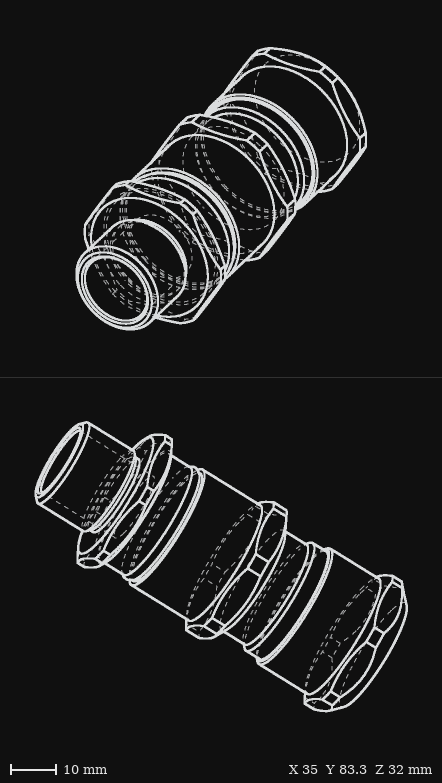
import cadquery as cq
import math

total_length = 83.3
across_flats = 32.0
hex_corner_radius = 17.5
body_radius = 30.0 / 2
lock_hex_face_radius = 14.7
sleeve_radius = 28.0 / 2
waist_radius = 26.0 / 2
thread_radius = 21.0 / 2
neck_radius = 19.0 / 2
bore_radius = 16.0 / 2

thread_chamfer = thread_radius - neck_radius
bore_chamfer = 0.5
body_chamfer = 0.5
sleeve_chamfer = 1.0
cap_chamfer = 4.0
hex_chamfer_slope = math.tan(math.radians(30))

thread_end = 14.0
lock_hex_start = 15.0
lock_hex_end = 19.9
middle_body_start = 28.6
middle_hex_start = 43.8
middle_hex_end = 51.3
sleeve_start = 57.4
cap_body_start = 62.0
cap_hex_start = 75.3

bore_depth = lock_hex_end

ring_center = 26.9
ring_tube_radius = 1.25
ring_outer_radius = 29.0 / 2


def turned(points):
    """Solid of revolution about Y from (radius, y) points that start and end on the axis."""
    return cq.Workplane("XY").polyline(points).close().revolve(360, (0, 0, 0), (0, 1, 0))


def cylinder(radius, start, end):
    return turned([(0, start), (radius, start), (radius, end), (0, end)])


def chamfer_height(end_radius):
    """Axial height of a 30 degree hexagon chamfer that ends at the given radius."""
    return (hex_corner_radius - end_radius) * hex_chamfer_slope


def hex_collar(start, end, end_radius, end_chamfer):
    """Hexagon with flats facing Z, cut to a turned blank with both ends chamfered."""
    blank = turned([
        (0, start),
        (body_radius, start),
        (hex_corner_radius, start + chamfer_height(body_radius)),
        (hex_corner_radius, end - end_chamfer),
        (end_radius, end),
        (0, end),
    ])
    across_corners = across_flats / math.cos(math.radians(30))
    prism = (
        cq.Workplane("XZ", origin=(0, start, 0))
        .polygon(6, across_corners)
        .extrude(start - end)
    )
    return blank.intersect(prism)


entry = turned([
    (0, 0),
    (thread_radius - thread_chamfer, 0),
    (thread_radius, thread_chamfer),
    (thread_radius, thread_end - thread_chamfer),
    (neck_radius, thread_end),
    (neck_radius, lock_hex_start),
    (0, lock_hex_start),
])

lock_hex = hex_collar(
    lock_hex_start,
    lock_hex_end,
    lock_hex_face_radius,
    chamfer_height(lock_hex_face_radius),
)
lower_sleeve = cylinder(sleeve_radius, lock_hex_end, middle_body_start)
ring_axis_offset = ring_outer_radius - ring_tube_radius
sealing_ring = (
    cq.Workplane("XY")
    .center(-ring_axis_offset, ring_center)
    .circle(ring_tube_radius)
    .revolve(360, (ring_axis_offset, 0, 0), (ring_axis_offset, 1, 0))
)

middle_body = cylinder(body_radius, middle_body_start, middle_hex_start)
middle_hex = hex_collar(middle_hex_start, middle_hex_end, waist_radius, chamfer_height(waist_radius))
waist = cylinder(waist_radius, middle_hex_end, sleeve_start)

upper_sleeve = turned([
    (0, sleeve_start),
    (sleeve_radius - sleeve_chamfer, sleeve_start),
    (sleeve_radius, sleeve_start + sleeve_chamfer),
    (sleeve_radius, cap_body_start),
    (0, cap_body_start),
])
cap_body = turned([
    (0, cap_body_start),
    (body_radius - body_chamfer, cap_body_start),
    (body_radius, cap_body_start + body_chamfer),
    (body_radius, cap_hex_start),
    (0, cap_hex_start),
])
cap_hex = hex_collar(cap_hex_start, total_length, hex_corner_radius - cap_chamfer, cap_chamfer)

bore = turned([
    (0, 0),
    (bore_radius + bore_chamfer, 0),
    (bore_radius, bore_chamfer),
    (bore_radius, bore_depth),
    (0, bore_depth),
])

result = entry
for section in (
    lock_hex, lower_sleeve, sealing_ring, middle_body, middle_hex,
    waist, upper_sleeve, cap_body, cap_hex,
):
    result = result.union(section)
result = result.cut(bore)